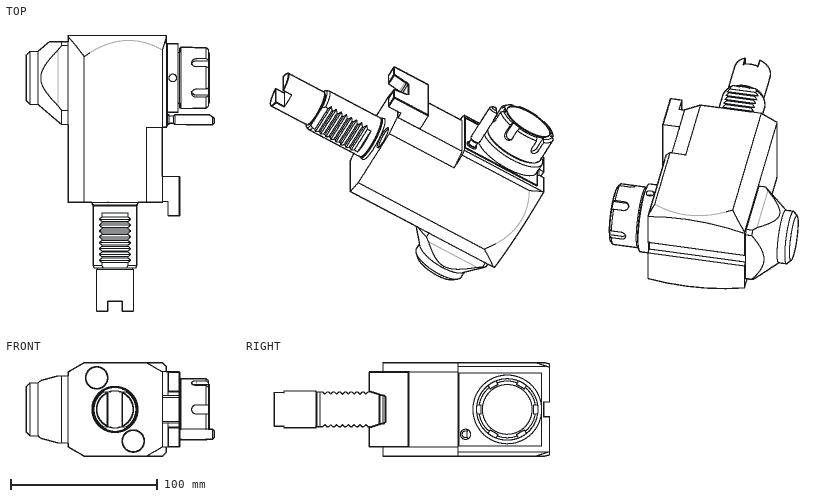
import math

import cadquery as cq


LENGTH = 114.0
HALF_HEIGHT = 32.0
LEFT_X = -32.0
LOWER_RIGHT_X = 32.4
UPPER_RIGHT_X = 35.2
STEP_Y = 51.2
BEVEL_RUN = 11.0
BEVEL_DROP = BEVEL_RUN * math.tan(math.radians(30))
UPPER_CHAMFER = UPPER_RIGHT_X - LOWER_RIGHT_X
END_SLOT_HALF_WIDTH = 4.9
END_SLOT_DEPTH = 4.0

CROWN_X = 9.3
CROWN_HALF_HEIGHT = 31.1
CROWN_RADIUS = 152.0
CROWN_ANGLE = 15.0

SINK_X = 12.5
SINK_Z = 21.6
SINK_RIM_RADIUS = 7.7
SINK_FLOOR_RADIUS = 7.3
SINK_DEPTH = 1.0

SPINDLE_Y = 85.0
COVER_RADIUS = 32.0
COVER_RIM_X = -36.4
COVER_NECK_X = -52.6
COVER_NECK_RADIUS = 18.2
COVER_END_X = -60.7
COVER_END_CHAMFER = 2.7
COVER_FLAT_Y = 24.8
COVER_FLAT_Z = 23.0
COVER_SLOPE_X = -38.8
COVER_SLOPE_ANGLE = 15.0

PAD_RIGHT_X = 35.8
PAD_BOTTOM_Y = 52.0
PAD_TOP_Y = 108.5
PAD_HALF_HEIGHT = 25.0
FLANGE_RADIUS = 23.5
FLANGE_RIGHT_X = 43.2
FLANGE_HOLE_RADIUS = 2.6
FLANGE_HOLE_DEPTH = 4.0
DRILL_HALF_ANGLE = 59.0
NECK_RADIUS = 17.5
NUT_LEFT_X = 44.2
NUT_RADIUS = 21.0
NUT_BACK_CHAMFER = 0.8
NUT_TAPER_X = 62.3
NUT_TAPER_RADIUS = 19.4
NUT_FACE_X = 64.0
NUT_LIP_RADIUS = 17.0
NUT_END_X = 64.6
NUT_SLOTS = 6
NUT_SLOT_WIDTH = 6.3
NUT_SLOT_LEFT_X = 52.4
NUT_SLOT_FLOOR_RADIUS = 18.0

PIN_Y = 56.5
PIN_Z = -17.0
PIN_RADIUS = 3.5
PIN_BASE_END_X = 36.8
PIN_NECK_RADIUS = 2.6
PIN_BODY_X = 41.0
PIN_END_X = 67.93
PIN_CHAMFER = 1.2
PIN_BEVEL_LENGTH = 3.6
PIN_BEVEL_DEPTH = 2.5

BRACKET_RIGHT_X = 44.3
BRACKET_TOP_Y = 17.8
BRACKET_HALF_HEIGHT = 25.8
BRACKET_FACE_Y = 0.5
BRACKET_RECESS_DEPTH = 1.1
BRACKET_RECESS_HALF_WIDTH = 8.3
FINGER_LEFT_X = 36.2
FINGER_END_Y = -9.5
FINGER_ROOT_Z = BRACKET_RECESS_HALF_WIDTH + BRACKET_RECESS_DEPTH
FINGER_TIP_Z = 12.2
FINGER_LAND = 1.2
BRACKET_CHAMFER = 0.5

COLLAR_RADIUS = 15.8
COLLAR_EDGE_RADIUS = 15.4
COLLAR_END_Y = -1.8
GROOVE_RADIUS = 14.4
GROOVE_END_Y = -2.5
SHANK_RADIUS = 15.0
SHANK_CHAMFER_Y = -43.0
SHANK_END_Y = -45.0
SHANK_END_RADIUS = 14.3
UNDERCUT_RADIUS = 12.0
UNDERCUT_END_Y = -45.8
TANG_RADIUS = 12.7
TANG_END_CHAMFER = 0.4
TANG_END_Y = -74.5
TOOTH_FLAT_Z = 12.0
TOOTH_FLAT_Y = -7.4
TOOTH_COUNT = 8
TOOTH_PITCH = 4.0
FIRST_TOOTH_Y = -11.6
TOOTH_DEPTH = 1.5
TANG_SLOT_HALF_WIDTH = 4.9
TANG_SLOT_DEPTH = 6.8
TANG_SLOT_CHAMFER = 0.4
TANG_SLOT_FLARE = 0.9
TANG_SLOT_FLARE_Z = 11.0


def box(x0, x1, y0, y1, z0, z1):
    """Axis-aligned block between the given limits."""
    size = (x1 - x0, y1 - y0, z1 - z0)
    return cq.Workplane("XY").box(*size, centered=False).translate((x0, y0, z0))


def turned_about_x(points, y, z=0.0):
    """Solid of revolution from (x, radius) points about a line parallel to X."""
    return cq.Workplane("XY").polyline(points).close().revolve(360, (0, 0, 0), (1, 0, 0)).translate((0, y, z))


def mirrored_pair(solid):
    """A solid together with its reflection in the plane Z = 0."""
    return solid.union(solid.mirror("XY"))


def prism_along_y(points, y0, y1):
    """Extrusion of an (x, z) outline from y0 to y1."""
    return cq.Workplane("XZ", origin=(0, y0, 0)).polyline(points).close().extrude(y0 - y1)


def housing_section(right_x, run, drop):
    """Housing outline whose right corners are bevelled by run in X and drop in Z."""
    upper = [
        (LEFT_X, HALF_HEIGHT - BEVEL_DROP),
        (LEFT_X + BEVEL_RUN, HALF_HEIGHT),
        (right_x - run, HALF_HEIGHT),
        (right_x, HALF_HEIGHT - drop),
    ]
    lower = [(x, -z) for x, z in reversed(upper)]
    return upper + lower


def crown():
    """Large cone whose upper side rounds off the +Y end of the housing's top face."""
    axis_z = CROWN_HALF_HEIGHT - CROWN_RADIUS
    base_radius = CROWN_RADIUS + LENGTH * math.tan(math.radians(CROWN_ANGLE))
    outline = [(0, 0), (base_radius, 0), (CROWN_RADIUS, LENGTH), (0, LENGTH)]
    cone = cq.Workplane("XY").polyline(outline).close().revolve(360, (0, 0, 0), (0, 1, 0))
    return cone.translate((CROWN_X, 0, axis_z))


def make_housing():
    lower = prism_along_y(housing_section(LOWER_RIGHT_X, BEVEL_RUN, BEVEL_DROP), 0, STEP_Y)
    upper = prism_along_y(housing_section(UPPER_RIGHT_X, UPPER_CHAMFER, UPPER_CHAMFER), STEP_Y, LENGTH)
    body = lower.union(upper).intersect(crown()).intersect(crown().mirror("XY"))
    body = body.cut(
        box(LEFT_X, UPPER_RIGHT_X, LENGTH - END_SLOT_DEPTH, LENGTH, -END_SLOT_HALF_WIDTH, END_SLOT_HALF_WIDTH)
    )
    for side in (1, -1):
        center = cq.Vector(-side * SINK_X, 0, side * SINK_Z)
        sink = cq.Solid.makeCone(SINK_RIM_RADIUS, SINK_FLOOR_RADIUS, SINK_DEPTH, center, cq.Vector(0, 1, 0))
        body = body.cut(cq.Workplane(sink))
    return body


def make_cover():
    """Conical rear cover with a flat toward +Y and flat, then sloping, top and bottom."""
    turned = turned_about_x(
        [
            (LEFT_X, 0),
            (LEFT_X, COVER_RADIUS),
            (COVER_RIM_X, COVER_RADIUS),
            (COVER_NECK_X, COVER_NECK_RADIUS),
            (COVER_END_X + COVER_END_CHAMFER, COVER_NECK_RADIUS),
            (COVER_END_X, COVER_NECK_RADIUS - COVER_END_CHAMFER),
            (COVER_END_X, 0),
        ],
        SPINDLE_Y,
    )
    slope_drop = (COVER_SLOPE_X - COVER_NECK_X) * math.tan(math.radians(COVER_SLOPE_ANGLE))
    neck_z = COVER_FLAT_Z - slope_drop
    upper = [
        (COVER_END_X, neck_z),
        (COVER_NECK_X, neck_z),
        (COVER_SLOPE_X, COVER_FLAT_Z),
        (LEFT_X, COVER_FLAT_Z),
    ]
    lower = [(x, -z) for x, z in reversed(upper)]
    envelope = prism_along_y(upper + lower, SPINDLE_Y - COVER_RADIUS, SPINDLE_Y + COVER_FLAT_Y)
    return turned.intersect(envelope)


def make_spindle():
    """Pad, flange and slotted nut on the spindle axis."""
    pad = box(LOWER_RIGHT_X, PAD_RIGHT_X, PAD_BOTTOM_Y, PAD_TOP_Y, -PAD_HALF_HEIGHT, PAD_HALF_HEIGHT)
    turned = turned_about_x(
        [
            (LOWER_RIGHT_X, 0),
            (LOWER_RIGHT_X, FLANGE_RADIUS),
            (FLANGE_RIGHT_X, FLANGE_RADIUS),
            (FLANGE_RIGHT_X, NECK_RADIUS),
            (NUT_LEFT_X, NECK_RADIUS),
            (NUT_LEFT_X, NUT_RADIUS - NUT_BACK_CHAMFER),
            (NUT_LEFT_X + NUT_BACK_CHAMFER, NUT_RADIUS),
            (NUT_TAPER_X, NUT_RADIUS),
            (NUT_FACE_X, NUT_TAPER_RADIUS),
            (NUT_FACE_X, NUT_LIP_RADIUS),
            (NUT_END_X, NUT_LIP_RADIUS),
            (NUT_END_X, 0),
        ],
        SPINDLE_Y,
    )
    slot_radius = NUT_SLOT_WIDTH / 2
    slot_start_x = NUT_SLOT_LEFT_X + slot_radius
    slot_plan = (
        cq.Workplane("XZ", origin=(0, SPINDLE_Y - NUT_SLOT_FLOOR_RADIUS, 0))
        .moveTo(NUT_END_X, slot_radius)
        .lineTo(slot_start_x, slot_radius)
        .threePointArc((NUT_SLOT_LEFT_X, 0), (slot_start_x, -slot_radius))
        .lineTo(NUT_END_X, -slot_radius)
        .close()
    )
    slot = slot_plan.extrude(NUT_RADIUS)
    for index in range(NUT_SLOTS):
        angle = index * 360 / NUT_SLOTS
        turned = turned.cut(slot.rotate((0, SPINDLE_Y, 0), (1, SPINDLE_Y, 0), angle))
    hole_x = (PAD_RIGHT_X + FLANGE_RIGHT_X) / 2
    hole_floor_z = FLANGE_RADIUS - FLANGE_HOLE_DEPTH
    hole_tip_z = hole_floor_z - FLANGE_HOLE_RADIUS / math.tan(math.radians(DRILL_HALF_ANGLE))
    hole = (
        cq.Workplane("XZ")
        .polyline(
            [
                (0, hole_tip_z),
                (FLANGE_HOLE_RADIUS, hole_floor_z),
                (FLANGE_HOLE_RADIUS, FLANGE_RADIUS),
                (0, FLANGE_RADIUS),
            ]
        )
        .close()
        .revolve(360, (0, 0, 0), (0, 1, 0))
        .translate((hole_x, SPINDLE_Y, 0))
    )
    return pad.union(turned.cut(hole))


def make_pin():
    """Necked coolant pin with a chamfered end, bevelled toward the nut."""
    pin = turned_about_x(
        [
            (LOWER_RIGHT_X, 0),
            (LOWER_RIGHT_X, PIN_RADIUS),
            (PIN_BASE_END_X, PIN_RADIUS),
            (PIN_BASE_END_X, PIN_NECK_RADIUS),
            (PIN_BODY_X - (PIN_RADIUS - PIN_NECK_RADIUS), PIN_NECK_RADIUS),
            (PIN_BODY_X, PIN_RADIUS),
            (PIN_END_X - PIN_CHAMFER, PIN_RADIUS),
            (PIN_END_X, PIN_RADIUS - PIN_CHAMFER),
            (PIN_END_X, 0),
        ],
        PIN_Y,
        PIN_Z,
    )
    top_y = PIN_Y + PIN_RADIUS
    bevel = (
        cq.Workplane("XY", origin=(0, 0, PIN_Z))
        .polyline(
            [
                (PIN_END_X - PIN_BEVEL_LENGTH, top_y),
                (PIN_END_X, top_y),
                (PIN_END_X, top_y - PIN_BEVEL_DEPTH),
            ]
        )
        .close()
        .extrude(PIN_RADIUS, both=True)
    )
    return pin.cut(bevel)


def make_bracket():
    """Block on the lower right side with a shallow middle recess and two tapered fingers."""
    block = box(
        LOWER_RIGHT_X,
        BRACKET_RIGHT_X,
        BRACKET_FACE_Y,
        BRACKET_TOP_Y,
        -BRACKET_HALF_HEIGHT,
        BRACKET_HALF_HEIGHT,
    )
    recess_y = BRACKET_FACE_Y + BRACKET_RECESS_DEPTH
    recess = (
        cq.Workplane("YZ", origin=(LOWER_RIGHT_X, 0, 0))
        .polyline(
            [
                (BRACKET_FACE_Y, FINGER_ROOT_Z),
                (recess_y, BRACKET_RECESS_HALF_WIDTH),
                (recess_y, -BRACKET_RECESS_HALF_WIDTH),
                (BRACKET_FACE_Y, -FINGER_ROOT_Z),
            ]
        )
        .close()
        .extrude(BRACKET_RIGHT_X - LOWER_RIGHT_X)
    )
    finger = (
        cq.Workplane("YZ", origin=(FINGER_LEFT_X, 0, 0))
        .polyline(
            [
                (BRACKET_FACE_Y, FINGER_ROOT_Z),
                (BRACKET_FACE_Y - FINGER_LAND, FINGER_ROOT_Z),
                (FINGER_END_Y, FINGER_TIP_Z),
                (FINGER_END_Y, BRACKET_HALF_HEIGHT),
                (BRACKET_FACE_Y, BRACKET_HALF_HEIGHT),
            ]
        )
        .close()
        .extrude(BRACKET_RIGHT_X - FINGER_LEFT_X)
    )
    bracket = block.cut(recess).union(mirrored_pair(finger))
    return bracket.faces(">X or <Y").edges().chamfer(BRACKET_CHAMFER)


def make_shank():
    turned = (
        cq.Workplane("XY")
        .polyline(
            [
                (0, 0),
                (COLLAR_RADIUS, 0),
                (COLLAR_EDGE_RADIUS, COLLAR_END_Y),
                (GROOVE_RADIUS, COLLAR_END_Y),
                (GROOVE_RADIUS, GROOVE_END_Y),
                (SHANK_RADIUS, GROOVE_END_Y),
                (SHANK_RADIUS, SHANK_CHAMFER_Y),
                (SHANK_END_RADIUS, SHANK_END_Y),
                (UNDERCUT_RADIUS, SHANK_END_Y),
                (UNDERCUT_RADIUS, UNDERCUT_END_Y),
                (TANG_RADIUS, UNDERCUT_END_Y),
                (TANG_RADIUS, TANG_END_Y + TANG_END_CHAMFER),
                (TANG_RADIUS - TANG_END_CHAMFER, TANG_END_Y),
                (0, TANG_END_Y),
            ]
        )
        .close()
        .revolve(360, (0, 0, 0), (0, 1, 0))
    )
    return turned.cut(mirrored_pair(tooth_cutter())).cut(tang_slot())


def tooth_cutter():
    """Flat and V-shaped grooves removed from the upper side of the shank."""
    cutter = box(-SHANK_RADIUS, SHANK_RADIUS, SHANK_END_Y, TOOTH_FLAT_Y, TOOTH_FLAT_Z, SHANK_RADIUS)
    for index in range(TOOTH_COUNT):
        y = FIRST_TOOTH_Y - index * TOOTH_PITCH
        groove = (
            cq.Workplane("YZ")
            .polyline(
                [
                    (y - TOOTH_DEPTH, TOOTH_FLAT_Z),
                    (y, TOOTH_FLAT_Z - TOOTH_DEPTH),
                    (y + TOOTH_DEPTH, TOOTH_FLAT_Z),
                ]
            )
            .close()
            .extrude(SHANK_RADIUS, both=True)
        )
        cutter = cutter.union(groove)
    return cutter


def tang_slot():
    """Driving slot across the tang, chamfered at its mouth and flared where it leaves the tang."""
    floor_y = TANG_END_Y + TANG_SLOT_DEPTH
    mouth = TANG_SLOT_HALF_WIDTH + TANG_SLOT_CHAMFER
    chamfer_y = TANG_END_Y + TANG_SLOT_CHAMFER
    right = [
        (TANG_SLOT_HALF_WIDTH, floor_y),
        (TANG_SLOT_HALF_WIDTH, chamfer_y),
        (mouth, TANG_END_Y),
    ]
    left = [(-x, y) for x, y in reversed(right)]
    slot = cq.Workplane("XY").polyline(right + left).close().extrude(TANG_RADIUS, both=True)
    flare_half_width = TANG_SLOT_HALF_WIDTH + TANG_SLOT_FLARE
    flare = prism_along_y(
        [
            (-TANG_SLOT_HALF_WIDTH, TANG_SLOT_FLARE_Z),
            (-flare_half_width, TANG_RADIUS),
            (flare_half_width, TANG_RADIUS),
            (TANG_SLOT_HALF_WIDTH, TANG_SLOT_FLARE_Z),
        ],
        TANG_END_Y,
        floor_y,
    )
    return slot.union(mirrored_pair(flare))


result = make_housing()
for part in (make_cover(), make_spindle(), make_pin(), make_bracket(), make_shank()):
    result = result.union(part)